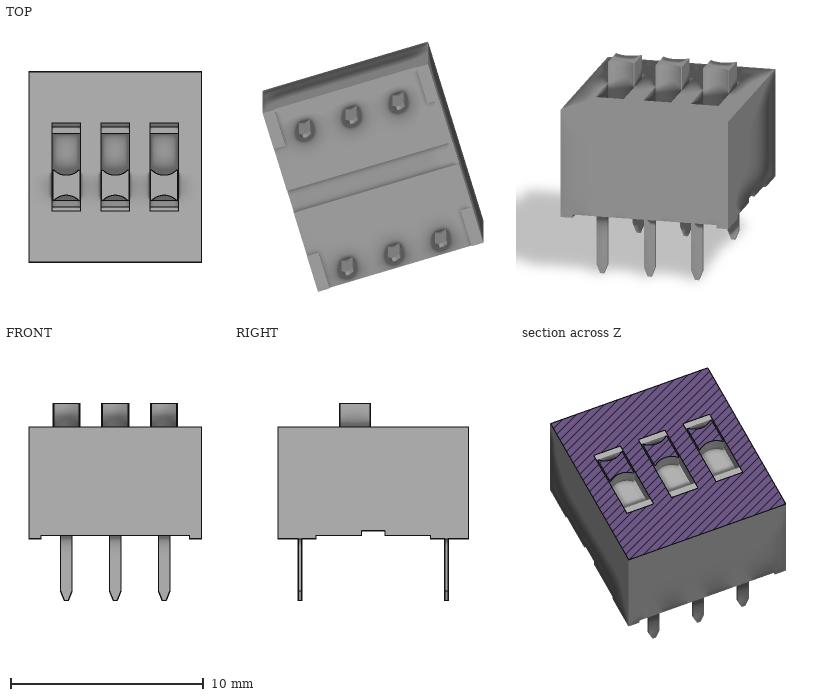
import cadquery as cq

HOUSING_X = 8.98
HOUSING_Y = 9.9
HOUSING_Z = 5.82

FOOT_X = 0.64
FOOT_Y = 1.99
FOOT_HEIGHT = 0.17
GROOVE_WIDTH = 1.22
GROOVE_TOP_Z = 0.42

POSITIONS = 3
PITCH = 2.54
POSITION_XS = [(i - (POSITIONS - 1) / 2) * PITCH for i in range(POSITIONS)]

SLOT_WIDTH = 1.5
SLOT_LENGTH = 4.56
POCKET_LENGTH = 3.48
SLOPE_DEPTH = 0.19
LEDGE_LENGTH = SLOT_LENGTH - 2 * SLOPE_DEPTH
LEDGE_DEPTH = 0.23
POCKET_DEPTH = 0.92

LEVER_WIDTH = 1.4
LEVER_LENGTH = 1.59
LEVER_HEIGHT = 1.22
LEVER_LAND = 0.05
LEVER_HOLLOW = 0.28

PIN_WIDTH = 0.6
PIN_THICKNESS = 0.19
PIN_TIP_WIDTH = 0.2
PIN_TAPER = 0.49
ROW_SPACING = 7.62
OVERALL_Z = 10.25
PIN_TIP_Z = HOUSING_Z + LEVER_HEIGHT - OVERALL_Z
ROW_YS = (-ROW_SPACING / 2, ROW_SPACING / 2)


def make_block():
    """Plain block with the corner feet and the underside groove."""
    block = cq.Workplane().box(HOUSING_X, HOUSING_Y, HOUSING_Z, centered=(True, True, False))
    recess_across_x = cq.Workplane().box(
        HOUSING_X, HOUSING_Y - 2 * FOOT_Y, FOOT_HEIGHT, centered=(True, True, False)
    )
    recess_across_y = cq.Workplane().box(
        HOUSING_X - 2 * FOOT_X, HOUSING_Y, FOOT_HEIGHT, centered=(True, True, False)
    )
    groove = cq.Workplane().box(HOUSING_X, GROOVE_WIDTH, GROOVE_TOP_Z, centered=(True, True, False))
    return block.cut(recess_across_x).cut(recess_across_y).cut(groove)


def make_slot(x):
    """Solid to cut away for one slot: its YZ profile extruded along X."""
    slope_end_z = HOUSING_Z - SLOPE_DEPTH
    ledge_z = HOUSING_Z - LEDGE_DEPTH
    floor_z = HOUSING_Z - POCKET_DEPTH
    return (
        cq.Workplane("YZ", origin=(x, 0, 0))
        .moveTo(-SLOT_LENGTH / 2, HOUSING_Z)
        .lineTo(-LEDGE_LENGTH / 2, slope_end_z)
        .lineTo(-LEDGE_LENGTH / 2, ledge_z)
        .lineTo(-POCKET_LENGTH / 2, ledge_z)
        .lineTo(-POCKET_LENGTH / 2, floor_z)
        .lineTo(POCKET_LENGTH / 2, floor_z)
        .lineTo(POCKET_LENGTH / 2, ledge_z)
        .lineTo(LEDGE_LENGTH / 2, ledge_z)
        .lineTo(LEDGE_LENGTH / 2, slope_end_z)
        .lineTo(SLOT_LENGTH / 2, HOUSING_Z)
        .close()
        .extrude(SLOT_WIDTH / 2, both=True)
    )


def make_lever(x):
    """Upright lever with a hollow, arc-shaped front and back."""
    front_y = -POCKET_LENGTH / 2
    back_y = front_y + LEVER_LENGTH
    side = LEVER_WIDTH / 2
    arc_end = side - LEVER_LAND
    return (
        cq.Workplane("XY", origin=(x, 0, HOUSING_Z - POCKET_DEPTH))
        .moveTo(-side, front_y)
        .lineTo(-arc_end, front_y)
        .threePointArc((0, front_y + LEVER_HOLLOW), (arc_end, front_y))
        .lineTo(side, front_y)
        .lineTo(side, back_y)
        .lineTo(arc_end, back_y)
        .threePointArc((0, back_y - LEVER_HOLLOW), (-arc_end, back_y))
        .lineTo(-side, back_y)
        .close()
        .extrude(POCKET_DEPTH + LEVER_HEIGHT)
    )


def make_housing():
    """Housing with one slot and one fixed lever at each switch position."""
    body = make_block()
    for x in POSITION_XS:
        body = body.cut(make_slot(x)).union(make_lever(x))
    return body


def make_pin(x, y):
    """Flat pin that starts at the recessed underside and tapers to its tip."""
    shoulder_z = PIN_TIP_Z + PIN_TAPER
    return (
        cq.Workplane("XZ", origin=(x, y, 0))
        .moveTo(-PIN_WIDTH / 2, FOOT_HEIGHT)
        .lineTo(-PIN_WIDTH / 2, shoulder_z)
        .lineTo(-PIN_TIP_WIDTH / 2, PIN_TIP_Z)
        .lineTo(PIN_TIP_WIDTH / 2, PIN_TIP_Z)
        .lineTo(PIN_WIDTH / 2, shoulder_z)
        .lineTo(PIN_WIDTH / 2, FOOT_HEIGHT)
        .close()
        .extrude(PIN_THICKNESS / 2, both=True)
    )


housing = make_housing()
pins = [make_pin(x, y) for y in ROW_YS for x in POSITION_XS]

result = cq.Compound.makeCompound([housing.val(), *[pin.val() for pin in pins]])